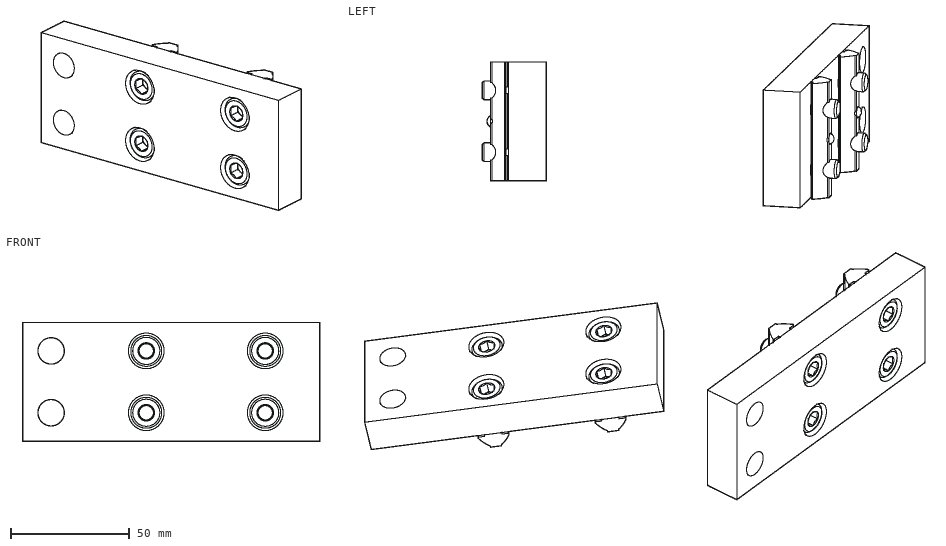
import cadquery as cq
import math

PLATE_LENGTH = 125.0
PLATE_THICKNESS = 16.0
PLATE_HEIGHT = 50.0

ROW_OFFSET = 13.0
ROWS = [-ROW_OFFSET, ROW_OFFSET]
SCREW_COLUMN_PITCH = 50.0
FIRST_SCREW_X = -10.5
OPEN_HOLE_SPACING = 40.0
OPEN_HOLE_X = FIRST_SCREW_X - OPEN_HOLE_SPACING
SCREW_COLUMNS = [FIRST_SCREW_X, FIRST_SCREW_X + SCREW_COLUMN_PITCH]
OPEN_HOLE_DIAMETER = 11.0
CLEARANCE_DIAMETER = 9.0
COUNTERBORE_DIAMETER = 15.0

SHANK_DIAMETER = 8.0
SHANK_TIP_DIAMETER = 6.6
HEAD_DIAMETER = 13.0
HEAD_HEIGHT = 8.0
HEAD_CHAMFER = 0.8
SCREW_PROTRUSION = 11.0
SHANK_CHAMFER_LENGTH = 0.9
SHANK_LENGTH = 18.0
SOCKET_WIDTH = 6.0
SOCKET_DEPTH = 5.0
SOCKET_CORNER_DIAMETER = SOCKET_WIDTH / math.cos(math.pi / 6)
SOCKET_TURN = 30
SOCKET_TIP_ANGLE = math.radians(60)

SCREW_TIP_Y = PLATE_THICKNESS + SCREW_PROTRUSION
HEAD_SEAT_Y = SCREW_TIP_Y - SHANK_LENGTH
HEAD_TOP_Y = HEAD_SEAT_Y - HEAD_HEIGHT

NUT_LENGTH = PLATE_HEIGHT
NECK_HALF_WIDTH = 3.8
NECK_CHAMFER = 0.4
WING_UNDERSIDE = 0.9
WING_EDGE = 1.5
WING_HALF_WIDTH = 6.6
WING_CHAMFER = 0.4
NUT_HEIGHT = 7.5
NUT_TOP_HALF_WIDTH = 2.4
NUT_SHOULDER = 6.9
FLANK_RADIUS = 17.5
BALL_RADIUS = 2.6
BALL_TOP = 9.0


def cylinder_along_y(diameter, start_y, end_y):
    """Cylinder on the line x = z = 0 from start_y to end_y."""
    direction = cq.Vector(0, 1, 0)
    return cq.Workplane(
        cq.Solid.makeCylinder(diameter / 2, end_y - start_y, cq.Vector(0, start_y, 0), direction)
    )


def cone_along_y(start_diameter, end_diameter, start_y, length):
    """Cone on the line x = z = 0 that starts at start_y."""
    direction = cq.Vector(0, 1, 0)
    return cq.Workplane(
        cq.Solid.makeCone(start_diameter / 2, end_diameter / 2, length, cq.Vector(0, start_y, 0), direction)
    )


def make_plate():
    """Plate with the open holes and the counterbored screw holes."""
    plate = cq.Workplane().box(PLATE_LENGTH, PLATE_THICKNESS, PLATE_HEIGHT)
    plate = plate.translate((0, PLATE_THICKNESS / 2, 0))
    open_hole = cylinder_along_y(OPEN_HOLE_DIAMETER, 0, PLATE_THICKNESS)
    clearance_hole = cylinder_along_y(CLEARANCE_DIAMETER, 0, PLATE_THICKNESS)
    counterbore = cylinder_along_y(COUNTERBORE_DIAMETER, 0, HEAD_SEAT_Y)
    screw_hole = clearance_hole.union(counterbore)
    for z in ROWS:
        plate = plate.cut(open_hole.translate((OPEN_HOLE_X, 0, z)))
        for x in SCREW_COLUMNS:
            plate = plate.cut(screw_hole.translate((x, 0, z)))
    return plate


def make_socket():
    """Hexagonal recess with a chamfered mouth and a conical bottom."""
    hexagon = (
        cq.Workplane("XZ", origin=(0, HEAD_TOP_Y, 0))
        .polygon(6, SOCKET_CORNER_DIAMETER)
        .extrude(-SOCKET_DEPTH)
        .rotate((0, 0, 0), (0, 1, 0), SOCKET_TURN)
    )
    mouth_depth = SOCKET_CORNER_DIAMETER / 2
    mouth = cone_along_y(SOCKET_CORNER_DIAMETER, 0, HEAD_TOP_Y, mouth_depth)
    tip_depth = SOCKET_WIDTH / 2 / math.tan(SOCKET_TIP_ANGLE)
    tip = cone_along_y(SOCKET_WIDTH, 0, HEAD_TOP_Y + SOCKET_DEPTH, tip_depth)
    return hexagon.union(mouth).union(tip)


def make_screw(x, z):
    """Socket head screw seated in the counterbore at x, z."""
    shank_end_y = SCREW_TIP_Y - SHANK_CHAMFER_LENGTH
    head = cylinder_along_y(HEAD_DIAMETER, HEAD_TOP_Y, HEAD_SEAT_Y).faces("<Y").chamfer(HEAD_CHAMFER)
    shank = cylinder_along_y(SHANK_DIAMETER, HEAD_SEAT_Y, shank_end_y)
    tip = cone_along_y(SHANK_DIAMETER, SHANK_TIP_DIAMETER, shank_end_y, SHANK_CHAMFER_LENGTH)
    screw = head.union(shank).union(tip).cut(make_socket())
    return screw.translate((x, 0, z))


def flank_middle():
    """Middle point of the right-hand flank arc, which bulges outwards."""
    dx = WING_HALF_WIDTH - NUT_TOP_HALF_WIDTH
    dy = NUT_SHOULDER - WING_EDGE
    chord = math.hypot(dx, dy)
    bulge = FLANK_RADIUS - math.sqrt(FLANK_RADIUS**2 - (chord / 2) ** 2)
    middle_x = (WING_HALF_WIDTH + NUT_TOP_HALF_WIDTH) / 2 + bulge * dy / chord
    middle_y = (WING_EDGE + NUT_SHOULDER) / 2 + bulge * dx / chord
    return middle_x, middle_y


def make_nut(x):
    """Slot nut along Z with a locating ball fused into the middle of its top."""
    body = (
        cq.Workplane("XY", origin=(0, PLATE_THICKNESS, 0))
        .lineTo(NECK_HALF_WIDTH - NECK_CHAMFER, 0)
        .lineTo(NECK_HALF_WIDTH, NECK_CHAMFER)
        .lineTo(NECK_HALF_WIDTH, WING_UNDERSIDE)
        .lineTo(WING_HALF_WIDTH - WING_CHAMFER, WING_UNDERSIDE)
        .lineTo(WING_HALF_WIDTH, WING_UNDERSIDE + WING_CHAMFER)
        .lineTo(WING_HALF_WIDTH, WING_EDGE)
        .threePointArc(flank_middle(), (NUT_TOP_HALF_WIDTH, NUT_SHOULDER))
        .lineTo(NUT_TOP_HALF_WIDTH, NUT_HEIGHT)
        .lineTo(0, NUT_HEIGHT)
        .mirrorY()
        .extrude(NUT_LENGTH / 2, both=True)
    )
    ball_center_y = PLATE_THICKNESS + BALL_TOP - BALL_RADIUS
    ball = cq.Workplane().sphere(BALL_RADIUS).translate((0, ball_center_y, 0))
    nut = body.union(ball)
    screw_hole = cylinder_along_y(SHANK_DIAMETER, PLATE_THICKNESS, SCREW_TIP_Y)
    for z in ROWS:
        nut = nut.cut(screw_hole.translate((0, 0, z)))
    return nut.translate((x, 0, 0))


plate = make_plate()
nuts = [make_nut(x) for x in SCREW_COLUMNS]
screws = [make_screw(x, z) for x in SCREW_COLUMNS for z in ROWS]

result = cq.Compound.makeCompound(
    [plate.val()] + [nut.val() for nut in nuts] + [screw.val() for screw in screws]
)